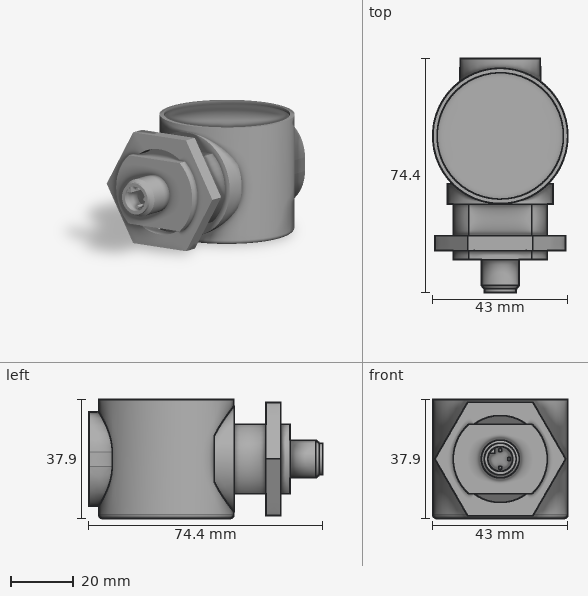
import cadquery as cq
import math


housing_radius = 21.5
housing_height = 37.85
bottom_fillet = 1.35
lid_radius = 20.1
lid_recess = 1.0

boss_end = 24.6
boss_radius = 12.7
boss_center_distance = 4.45
boss_draft_angle = 1.5

collar_radius = 16.8
collar_back = -15.2
collar_front = -21.65
stud_radius = 14.95
stud_flat_width = 22.15
stud_front = -39.35
nut_across_flats = 36.0
nut_bore_radius = 13.8
nut_back = -31.7
nut_front = -36.45

plug_radius = 6.0
nose_radius = 5.05
nose_length = 1.1
cone_length = 1.1
plug_front = -49.75
socket_radius = 3.95
socket_depth = 6.7
socket_floor = plug_front + socket_depth

pin_radius = 0.5
pin_circle_radius = 2.8
pin_tip_recess = 1.35
pin_angles = (-90, 0, 90)
key_offset = 1.8
key_tip_recess = 0.3


def facing_front(y):
    """Sketch plane at the given Y; local x is X, local y is Z, extrusion goes to -Y."""
    return cq.Workplane("XZ", origin=(0, y, 0))


def disc(radius, back, front):
    return facing_front(back).circle(radius).extrude(back - front)


def make_housing():
    half_height = housing_height / 2
    body = cq.Workplane("XY").circle(housing_radius).extrude(half_height, both=True)
    body = body.faces("<Z").edges().fillet(bottom_fillet)
    lid_plane = cq.Workplane("XY").workplane(offset=half_height - lid_recess)
    recess = lid_plane.circle(lid_radius).extrude(lid_recess)
    return body.cut(recess)


def make_rear_boss():
    length = boss_center_distance + 2 * boss_radius
    return (
        facing_front(boss_end)
        .slot2D(length, 2 * boss_radius, 90)
        .extrude(boss_end, taper=-boss_draft_angle)
    )


def make_stud():
    flats = facing_front(0).rect(2 * stud_radius, stud_flat_width).extrude(-stud_front)
    return disc(stud_radius, collar_front, stud_front).intersect(flats)


def make_nut():
    corner_diameter = nut_across_flats / math.cos(math.pi / 6)
    blank = facing_front(nut_back).polygon(6, corner_diameter).extrude(nut_back - nut_front)
    return blank.cut(disc(nut_bore_radius, nut_back, nut_front))


def make_plug():
    cone_front = plug_front + nose_length
    cone_back = cone_front + cone_length
    shell = (
        cq.Workplane("XY")
        .moveTo(0, stud_front)
        .lineTo(plug_radius, stud_front)
        .lineTo(plug_radius, cone_back)
        .lineTo(nose_radius, cone_front)
        .lineTo(nose_radius, plug_front)
        .lineTo(0, plug_front)
        .close()
        .revolve(360, (0, 0, 0), (0, 1, 0))
    )
    return shell.cut(disc(socket_radius, socket_floor, plug_front))


def make_pins():
    centers = [
        (
            pin_circle_radius * math.cos(math.radians(angle)),
            pin_circle_radius * math.sin(math.radians(angle)),
        )
        for angle in pin_angles
    ]
    pin_length = socket_depth - pin_tip_recess
    return facing_front(socket_floor).pushPoints(centers).circle(pin_radius).extrude(pin_length)


def make_key():
    block = (
        facing_front(socket_floor)
        .moveTo(-key_offset, key_offset)
        .rect(-socket_radius, socket_radius, centered=False)
        .extrude(socket_depth - key_tip_recess)
    )
    root_radius = (socket_radius + nose_radius) / 2
    return block.intersect(disc(root_radius, socket_floor, plug_front))


result = make_housing().union(make_rear_boss())
result = result.union(disc(collar_radius, collar_back, collar_front))
for feature in (make_stud(), make_nut(), make_plug(), make_pins(), make_key()):
    result = result.union(feature)